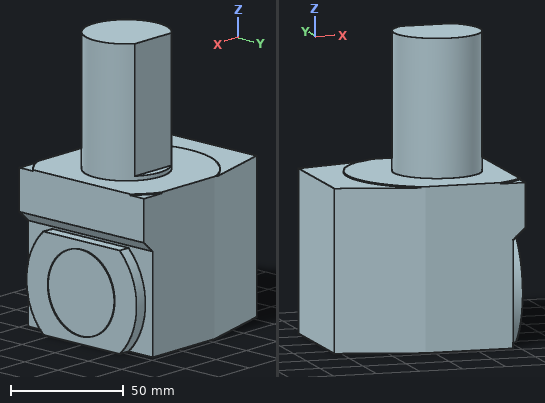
import cadquery as cq

total_height = 138.0
head_length = 85.5
head_width = 75.0
narrow_end_width = 54.0
taper_length = 39.0
head_height = 74.4

seat_radius = 41.5
seat_height = 0.5
seat_top = head_height + seat_height

shaft_x = 56.0
shaft_diameter = 40.0
flat_offset = 16.0
flat_start_height = 2.1

step_depth = 5.8
step_slope_bottom = 48.9
step_slope_top = 54.1

boss_height = 47.7
boss_axis_z = boss_height / 2
boss_radius = 33.1
pad_diameter = shaft_diameter
pad_height = 0.4


def head_prism(height):
    """Head outline, tapered toward the narrow end, extruded up from the base."""
    outline = [
        (0, -narrow_end_width / 2),
        (taper_length, -head_width / 2),
        (head_length, -head_width / 2),
        (head_length, head_width / 2),
        (taper_length, head_width / 2),
        (0, narrow_end_width / 2),
    ]
    return cq.Workplane("XY").polyline(outline).close().extrude(height)


def make_seat():
    """Thin disc around the shaft, kept inside the head outline."""
    disc = (
        cq.Workplane("XY", origin=(shaft_x, 0, head_height))
        .circle(seat_radius)
        .extrude(seat_height)
    )
    return disc.intersect(head_prism(seat_top))


def make_step_cutter():
    """Full-width cut below the sloping face at the wide end."""
    step_x = head_length - step_depth
    profile = [
        (step_x, 0),
        (head_length, 0),
        (head_length, step_slope_top),
        (step_x, step_slope_bottom),
    ]
    return cq.Workplane("XZ").polyline(profile).close().extrude(head_width / 2, both=True)


def make_boss():
    """Boss filling the depth of the step, with flat top and bottom and a round pad."""
    step_face = cq.Workplane("YZ", origin=(head_length - step_depth, 0, boss_axis_z))
    disc = step_face.circle(boss_radius).extrude(step_depth)
    band = step_face.rect(2 * boss_radius, boss_height).extrude(step_depth)
    pad = (
        cq.Workplane("YZ", origin=(head_length, 0, boss_axis_z))
        .circle(pad_diameter / 2)
        .extrude(pad_height)
    )
    return disc.intersect(band).union(pad)


def make_head():
    """Head block with its seat, step and boss."""
    block = head_prism(head_height).union(make_seat())
    return block.cut(make_step_cutter()).union(make_boss())


def make_shaft():
    """Round shaft with one flat on its +Y side that stops above the seat."""
    shaft_length = total_height - seat_top
    shaft_radius = shaft_diameter / 2
    flat_depth = shaft_radius - flat_offset
    cylinder = (
        cq.Workplane("XY", origin=(shaft_x, 0, seat_top))
        .circle(shaft_radius)
        .extrude(shaft_length)
    )
    flat_center_y = flat_offset + flat_depth / 2
    flat_cutter = (
        cq.Workplane("XY", origin=(shaft_x, flat_center_y, seat_top + flat_start_height))
        .rect(shaft_diameter, flat_depth)
        .extrude(shaft_length - flat_start_height)
    )
    return cylinder.cut(flat_cutter)


head = make_head()
shaft = make_shaft()

result = cq.Compound.makeCompound([head.val(), shaft.val()])